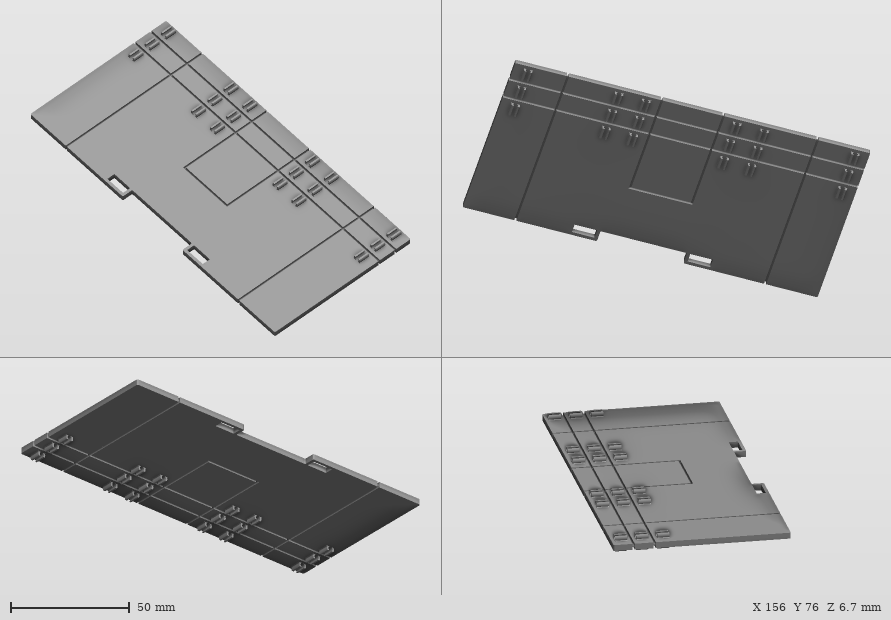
import cadquery as cq
import math

LENGTH = 156.0
WIDTH = 76.0
HEIGHT = 6.7
PLATE_THICKNESS = 2.7
CORNER_RADIUS = 0.6
BACK_EDGE = WIDTH / 2
FRONT_EDGE = -WIDTH / 2

FOLD_WIDTH = 1.0
WEB_THICKNESS = 0.5
WEB_SETBACK = 0.6
SIDE_FOLD_X = 54.9
LONG_FOLD_SETBACKS = (8.6, 17.6)
FLAP_FOLD_X = 13.5
FLAP_FOLD_SETBACK = 46.2

NOTCH_LENGTH = 38.0
NOTCH_DEPTH = 5.3
WINDOW_LENGTH = 10.0
WINDOW_RIM = 1.4
WINDOW_WIDTH = NOTCH_DEPTH - WINDOW_RIM
WINDOW_GAP = 1.4

CLIP_X = (20.0, 32.0, 71.9)
FIRST_CLIP_SETBACK = 4.0
CLIP_PITCH = 9.0
CLIP_ROWS = 3
CLIP_LENGTH = 5.1
CLIP_HEIGHT = (HEIGHT - PLATE_THICKNESS) / 2
RING_RADIUS = 1.9
SOCKET_RADIUS = 1.1
SOCKET_HEIGHT = 0.98
MOUTH_HALF_WIDTH = 0.8
FOOT_HALF_WIDTH = 2.2
FOOT_HEIGHT = 0.3


def block(x_size, y_size, z_size, x=0.0, y=0.0, z=0.0):
    """A box centred on the given point."""
    return cq.Workplane("XY").box(x_size, y_size, z_size).translate((x, y, z))


def make_plate():
    """Rounded plate with the front notch and the two windows."""
    notch_half = NOTCH_LENGTH / 2
    notch_back = FRONT_EDGE + NOTCH_DEPTH
    plate = (
        cq.Workplane("XY", origin=(0, 0, -PLATE_THICKNESS / 2))
        .moveTo(-LENGTH / 2, FRONT_EDGE)
        .lineTo(-notch_half, FRONT_EDGE)
        .lineTo(-notch_half, notch_back)
        .lineTo(notch_half, notch_back)
        .lineTo(notch_half, FRONT_EDGE)
        .lineTo(LENGTH / 2, FRONT_EDGE)
        .lineTo(LENGTH / 2, BACK_EDGE)
        .lineTo(-LENGTH / 2, BACK_EDGE)
        .close()
        .extrude(PLATE_THICKNESS)
        .edges("|Z")
        .fillet(CORNER_RADIUS)
    )
    window_x = notch_half + WINDOW_GAP + WINDOW_LENGTH / 2
    window_y = FRONT_EDGE + WINDOW_RIM + WINDOW_WIDTH / 2
    for side in (-1, 1):
        plate = plate.cut(block(WINDOW_LENGTH, WINDOW_WIDTH, PLATE_THICKNESS, side * window_x, window_y))
    return plate


def make_fold(length):
    """Two facing round-bottomed groove cutters along X, centred on the origin."""
    half_width = FOLD_WIDTH / 2
    floor = WEB_THICKNESS / 2
    groove = (
        cq.Workplane("YZ", origin=(-length / 2, 0, 0))
        .moveTo(-half_width, PLATE_THICKNESS / 2)
        .lineTo(-half_width, floor + half_width)
        .threePointArc((0, floor), (half_width, floor + half_width))
        .lineTo(half_width, PLATE_THICKNESS / 2)
        .close()
        .extrude(length)
    )
    return groove.add(groove.mirror("XY")).combine()


def cut_folds(plate):
    """Cut every fold line and trim its web at the plate's edges."""
    flap_y = BACK_EDGE - FLAP_FOLD_SETBACK
    flap_span = 2 * FLAP_FOLD_X + FOLD_WIDTH
    plate = plate.cut(make_fold(flap_span).translate((0, flap_y, 0)))

    for setback in LONG_FOLD_SETBACKS:
        fold_y = BACK_EDGE - setback
        plate = plate.cut(make_fold(LENGTH).translate((0, fold_y, 0)))
        for side in (-1, 1):
            plate = plate.cut(block(2 * WEB_SETBACK, FOLD_WIDTH, PLATE_THICKNESS, side * LENGTH / 2, fold_y))

    flap_length = FLAP_FOLD_SETBACK + FOLD_WIDTH / 2
    for distance, length in ((SIDE_FOLD_X, WIDTH), (FLAP_FOLD_X, flap_length)):
        fold = make_fold(length).rotate((0, 0, 0), (0, 0, 1), 90)
        for side in (-1, 1):
            x = side * distance
            plate = plate.cut(fold.translate((x, BACK_EDGE - length / 2, 0)))
            plate = plate.cut(block(FOLD_WIDTH, 2 * WEB_SETBACK, PLATE_THICKNESS, x, BACK_EDGE))
    for side in (-1, 1):
        x = side * SIDE_FOLD_X
        plate = plate.cut(block(FOLD_WIDTH, 2 * WEB_SETBACK, PLATE_THICKNESS, x, FRONT_EDGE))
    return plate


def chord_half(radius, height):
    """Half width of a circle around the ring axis at a height above the plate face."""
    return math.sqrt(radius**2 - (height - SOCKET_HEIGHT) ** 2)


def make_prong():
    """Right-hand half of a clip standing on Z = 0, centred along Y."""
    lip_height = SOCKET_HEIGHT + math.sqrt(SOCKET_RADIUS**2 - MOUTH_HALF_WIDTH**2)
    socket_foot = chord_half(SOCKET_RADIUS, 0)
    return (
        cq.Workplane("XZ", origin=(0, CLIP_LENGTH / 2, 0))
        .moveTo(socket_foot, 0)
        .lineTo(FOOT_HALF_WIDTH, 0)
        .lineTo(chord_half(RING_RADIUS, FOOT_HEIGHT), FOOT_HEIGHT)
        .threePointArc((RING_RADIUS, SOCKET_HEIGHT), (chord_half(RING_RADIUS, CLIP_HEIGHT), CLIP_HEIGHT))
        .lineTo(MOUTH_HALF_WIDTH, CLIP_HEIGHT)
        .lineTo(MOUTH_HALF_WIDTH, lip_height)
        .threePointArc((SOCKET_RADIUS, SOCKET_HEIGHT), (socket_foot, 0))
        .close()
        .extrude(CLIP_LENGTH)
    )


def make_clip_pair():
    """Matching clips on the top and bottom faces of the plate."""
    prong = make_prong().translate((0, 0, PLATE_THICKNESS / 2))
    clip = prong.add(prong.mirror("YZ"))
    return clip.add(clip.mirror("XY")).combine()


result = cut_folds(make_plate())
clip_pair = make_clip_pair()
for row in range(CLIP_ROWS):
    clip_y = BACK_EDGE - FIRST_CLIP_SETBACK - row * CLIP_PITCH
    for distance in CLIP_X:
        for side in (-1, 1):
            result = result.union(clip_pair.translate((side * distance, clip_y, 0)))